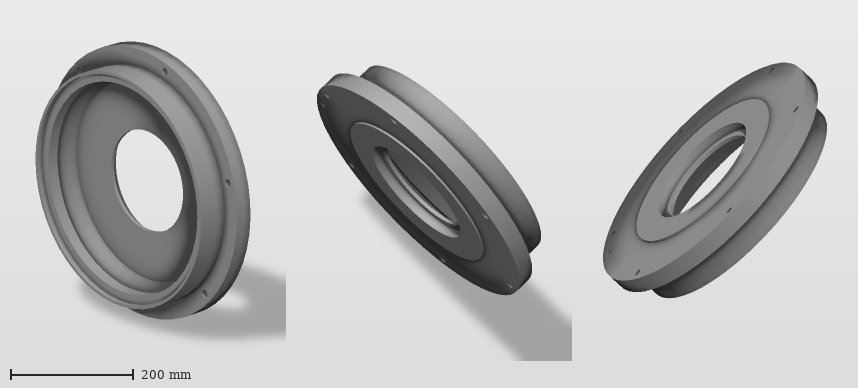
import cadquery as cq
import math

flange_diameter = 460.0
flange_thickness = 30.0
hub_diameter = 400.0
hub_length = 52.0
boss_diameter = 300.0
boss_height = 4.0
total_length = hub_length + flange_thickness + boss_height
front_y = -total_length / 2

rim_recess_diameter = 390.0
rim_recess_depth = 10.0
mouth_diameter = 359.5
mouth_length = 20.2
undercut_diameter = 382.3
floor_diameter = 340.0
floor_depth = 64.0
cone_length = (undercut_diameter - floor_diameter) / 2

bore_diameter = 173.0
bore_land = 6.0
relief_diameter = 199.5

bolt_count = 6
bolt_circle_diameter = 430.0
bolt_hole_diameter = 13.0
first_bolt_angle = 15.0
drain_diameter = 8.5
drain_depth = 49.5


def disc(diameter, start, length):
    """Cylinder along Y; start is measured back from the front rim."""
    centre = cq.Vector(0, front_y + start, 0)
    return cq.Workplane(cq.Solid.makeCylinder(diameter / 2, length, centre, cq.Vector(0, 1, 0)))


def make_body():
    hub = disc(hub_diameter, 0, hub_length)
    flange = disc(flange_diameter, hub_length, flange_thickness)
    boss = disc(boss_diameter, hub_length + flange_thickness, boss_height)
    return hub.union(flange).union(boss)


def make_cavity():
    """Revolved void: rim recess, mouth, undercut, conical wall, bore and relief."""
    mouth_end = rim_recess_depth + mouth_length
    land_end = floor_depth + bore_land
    profile = [
        (0, 0),
        (rim_recess_diameter / 2, 0),
        (rim_recess_diameter / 2, rim_recess_depth),
        (mouth_diameter / 2, rim_recess_depth),
        (mouth_diameter / 2, mouth_end),
        (undercut_diameter / 2, mouth_end),
        (undercut_diameter / 2, floor_depth - cone_length),
        (floor_diameter / 2, floor_depth),
        (bore_diameter / 2, floor_depth),
        (bore_diameter / 2, land_end),
        (relief_diameter / 2, land_end),
        (relief_diameter / 2, total_length),
        (0, total_length),
    ]
    void = cq.Workplane("XY").polyline(profile).close().revolve(360, (0, 0), (0, 1))
    return void.translate((0, front_y, 0))


def make_bolt_holes():
    holes = cq.Workplane("XY")
    for index in range(bolt_count):
        angle = math.radians(first_bolt_angle + index * 360 / bolt_count)
        x = bolt_circle_diameter / 2 * math.cos(angle)
        z = bolt_circle_diameter / 2 * math.sin(angle)
        hole = disc(bolt_hole_diameter, hub_length, flange_thickness)
        holes = holes.add(hole.translate((x, 0, z)))
    return holes.combine()


def make_drain_hole():
    """Oblique hole on +X, square to the conical wall and open at the back of the flange."""
    wall_radius = floor_diameter / 2 + floor_depth - drain_depth
    wall_point = cq.Vector(wall_radius, front_y + drain_depth, 0)
    direction = cq.Vector(1, 1, 0).normalized()
    length_to_back = math.sqrt(2) * (hub_length + flange_thickness - drain_depth)
    start = wall_point - direction * drain_diameter
    length = length_to_back + 2 * drain_diameter
    return cq.Workplane(cq.Solid.makeCylinder(drain_diameter / 2, length, start, direction))


result = make_body().cut(make_cavity()).cut(make_bolt_holes()).cut(make_drain_hole())